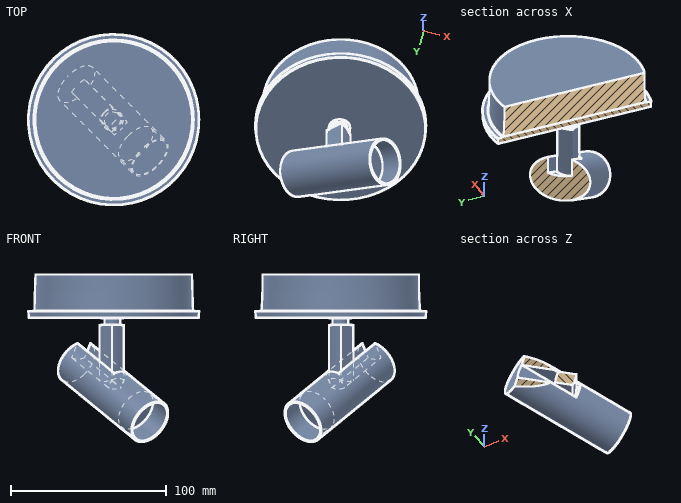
import cadquery as cq


COVER_TOP_RADIUS = 50.3
COVER_BASE_RADIUS = 51.0
LIP_RADIUS = 51.4
LIP_HEIGHT = 0.3
COVER_HEIGHT = 23.5
PLATE_RADIUS = 54.9
PLATE_BOTTOM_RADIUS = 54.6
PLATE_THICKNESS = 4.5
PLATE_CHAMFER = 0.3

STEM_RADIUS = 5.2
UPPER_COLLAR_RADIUS = 6.9
LOWER_COLLAR_RADIUS = 6.5
COLLAR_THICKNESS = 0.4
STEM_LENGTH = 4.5

POST_WIDTH = 10.8
POST_LENGTH = 11.6
POST_BULGE = 0.5
POST_EDGE_RADIUS = 0.5

TUBE_DIAMETER = 30.0
TUBE_RADIUS = TUBE_DIAMETER / 2
TUBE_WALL = 1.0
TUBE_LENGTH = 76.9
TUBE_TILT = 30.0
BORE_DEPTH = 14.6
SLOT_WIDTH = 11.6
SLOT_FLOOR = 3.1
SLOT_SAG = 1.2

HEADING = -45.0
ACROSS = -0.8
STEM_ALONG = -0.4
POST_ALONG = -1.2
TUBE_ALONG = 0.2
TUBE_CENTRE_Z = -75.4
POST_BOTTOM_RISE = 1.3
POST_BOTTOM_Z = TUBE_CENTRE_Z + POST_BOTTOM_RISE

PLATE_TOP_Z = -COVER_HEIGHT
PLATE_BOTTOM_Z = PLATE_TOP_Z - PLATE_THICKNESS
POST_TOP_Z = PLATE_BOTTOM_Z - STEM_LENGTH


def turn_to_heading(body):
    """Turn a body built along X to the horizontal heading of the tube."""
    return body.rotate((0, 0, 0), (0, 0, 1), HEADING)


def make_cover():
    """Slightly tapered drum with a thin lip around its foot."""
    lip_top_z = PLATE_TOP_Z + LIP_HEIGHT
    profile = (
        cq.Workplane("XZ")
        .moveTo(0, 0)
        .lineTo(COVER_TOP_RADIUS, 0)
        .lineTo(COVER_BASE_RADIUS, lip_top_z)
        .lineTo(LIP_RADIUS, lip_top_z)
        .lineTo(LIP_RADIUS, PLATE_TOP_Z)
        .lineTo(0, PLATE_TOP_Z)
        .close()
    )
    return profile.revolve(360, (0, 0, 0), (0, 1, 0))


def make_plate():
    """Round plate with a slightly drafted, chamfered rim."""
    profile = (
        cq.Workplane("XZ")
        .moveTo(0, PLATE_TOP_Z)
        .lineTo(PLATE_RADIUS - PLATE_CHAMFER, PLATE_TOP_Z)
        .lineTo(PLATE_RADIUS, PLATE_TOP_Z - PLATE_CHAMFER)
        .lineTo(PLATE_BOTTOM_RADIUS, PLATE_BOTTOM_Z + PLATE_CHAMFER)
        .lineTo(PLATE_BOTTOM_RADIUS - PLATE_CHAMFER, PLATE_BOTTOM_Z)
        .lineTo(0, PLATE_BOTTOM_Z)
        .close()
    )
    return profile.revolve(360, (0, 0, 0), (0, 1, 0))


def make_stem():
    """Spool that joins the plate to the post."""
    foot = cq.Workplane("XY", origin=(STEM_ALONG, ACROSS, POST_TOP_Z))
    stem = foot.circle(STEM_RADIUS).extrude(STEM_LENGTH)
    upper_collar = (
        foot.workplane(offset=STEM_LENGTH - COLLAR_THICKNESS)
        .circle(UPPER_COLLAR_RADIUS)
        .extrude(COLLAR_THICKNESS)
    )
    lower_collar = (
        cq.Workplane("XY", origin=(POST_ALONG, ACROSS, POST_TOP_Z))
        .circle(LOWER_COLLAR_RADIUS)
        .extrude(COLLAR_THICKNESS)
    )
    return turn_to_heading(stem.union(upper_collar).union(lower_collar))


def make_slot_cutter():
    """Channel with a curved floor, from the upper tube end to mid-length, tube along X."""
    half_width = SLOT_WIDTH / 2
    return (
        cq.Workplane("YZ")
        .moveTo(-half_width, TUBE_RADIUS)
        .lineTo(-half_width, SLOT_FLOOR)
        .threePointArc((0, SLOT_FLOOR - SLOT_SAG), (half_width, SLOT_FLOOR))
        .lineTo(half_width, TUBE_RADIUS)
        .close()
        .extrude(-TUBE_LENGTH / 2)
    )


def make_tube():
    """Lamp tube with a bore in its lower end and the post slot in its upper half."""
    half_length = TUBE_LENGTH / 2
    tube = cq.Workplane("YZ", origin=(-half_length, 0, 0)).circle(TUBE_RADIUS).extrude(TUBE_LENGTH)
    bore = (
        cq.Workplane("YZ", origin=(half_length, 0, 0))
        .circle(TUBE_RADIUS - TUBE_WALL)
        .extrude(-BORE_DEPTH)
    )
    tube = tube.cut(bore).cut(make_slot_cutter())
    tilted = tube.rotate((0, 0, 0), (0, 1, 0), TUBE_TILT)
    return turn_to_heading(tilted.translate((TUBE_ALONG, ACROSS, TUBE_CENTRE_Z)))


def make_post(seat):
    """Upright post, its lower end trimmed to rest in the slot of the tube."""
    half_length = POST_LENGTH / 2
    half_width = POST_WIDTH / 2
    tip = half_length + POST_BULGE
    post = (
        cq.Workplane("XY", origin=(POST_ALONG, ACROSS, POST_TOP_Z))
        .moveTo(-half_length, -half_width)
        .lineTo(half_length, -half_width)
        .threePointArc((tip, 0), (half_length, half_width))
        .lineTo(-half_length, half_width)
        .threePointArc((-tip, 0), (-half_length, -half_width))
        .close()
        .extrude(POST_BOTTOM_Z - POST_TOP_Z)
    )
    rear_edges = cq.selectors.BoxSelector(
        (POST_ALONG - tip, ACROSS - POST_WIDTH, POST_BOTTOM_Z),
        (POST_ALONG - half_length / 2, ACROSS + POST_WIDTH, POST_TOP_Z),
    )
    post = post.edges("|Z").edges(rear_edges).fillet(POST_EDGE_RADIUS)
    return turn_to_heading(post).cut(seat)


cover = make_cover()
plate = make_plate()
stem = make_stem()
tube = make_tube()
post = make_post(tube)

result = cq.Compound.makeCompound([cover.val(), plate.val(), stem.val(), *post.vals(), tube.val()])